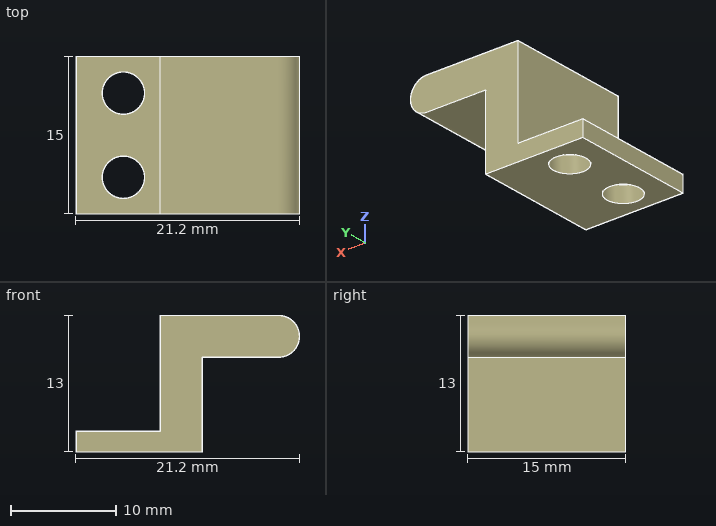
import cadquery as cq

length = 21.25
width = 15.0
height = 13.0

foot_length = 8.0
foot_thickness = 2.0
web_thickness = 4.0
arm_thickness = 4.0

hole_diameter = 4.0
hole_x = 4.5
hole_spacing = 8.0

web_back_x = foot_length + web_thickness
nose_radius = arm_thickness / 2
nose_center_x = length - nose_radius
arm_bottom_z = height - arm_thickness
arm_middle_z = height - nose_radius


def make_bracket_body():
    """Foot, upright web and round-nosed arm, extruded across the width."""
    profile = (
        cq.Workplane("XZ")
        .moveTo(0, 0)
        .lineTo(web_back_x, 0)
        .lineTo(web_back_x, arm_bottom_z)
        .lineTo(nose_center_x, arm_bottom_z)
        .threePointArc((length, arm_middle_z), (nose_center_x, height))
        .lineTo(foot_length, height)
        .lineTo(foot_length, foot_thickness)
        .lineTo(0, foot_thickness)
        .close()
    )
    return profile.extrude(-width)


def make_mounting_holes():
    """Pair of cylinders through the foot, centred across the width."""
    return (
        cq.Workplane("XY")
        .center(hole_x, width / 2)
        .rarray(1, hole_spacing, 1, 2)
        .circle(hole_diameter / 2)
        .extrude(foot_thickness)
    )


result = make_bracket_body().cut(make_mounting_holes())